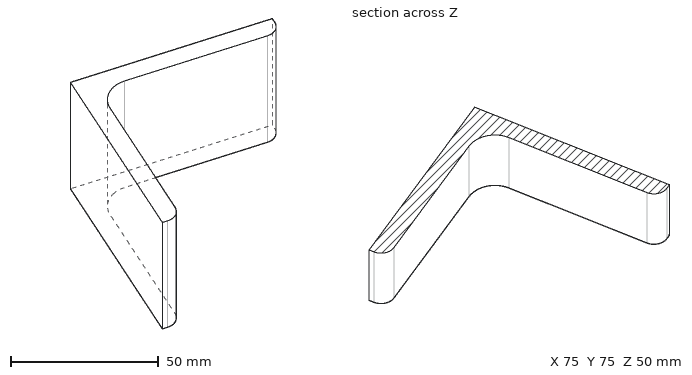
import cadquery as cq

leg_length = 75.0
leg_thickness = 7.0
root_radius = 10.0
toe_radius = 5.0
section_length = 50.0


def angle_blank():
    """Sharp-cornered L section with its outer corner at the origin."""
    return (
        cq.Workplane("XY")
        .moveTo(0, 0)
        .lineTo(leg_length, 0)
        .lineTo(leg_length, leg_thickness)
        .lineTo(leg_thickness, leg_thickness)
        .lineTo(leg_thickness, leg_length)
        .lineTo(0, leg_length)
        .close()
        .extrude(section_length)
    )


def round_upright_edge(body, x, y, radius):
    """Fillet the edge parallel to Z that passes through (x, y)."""
    edge_middle = (x, y, section_length / 2)
    return body.edges(cq.selectors.NearestToPointSelector(edge_middle)).fillet(radius)


result = angle_blank()
result = round_upright_edge(result, leg_thickness, leg_thickness, root_radius)
result = round_upright_edge(result, leg_length, leg_thickness, toe_radius)
result = round_upright_edge(result, leg_thickness, leg_length, toe_radius)